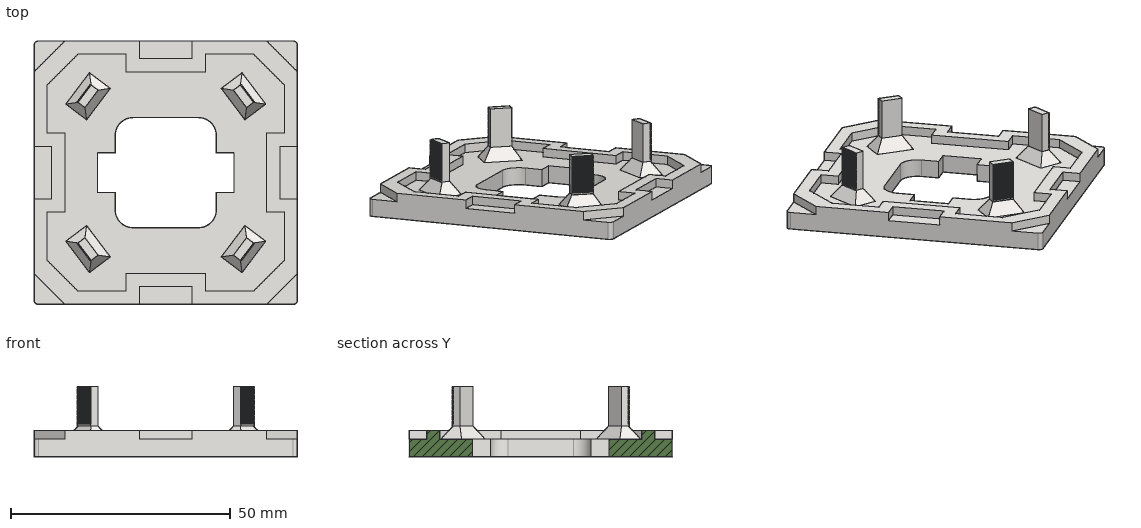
import cadquery as cq

plate_side = 60.0
plate_height = 6.0
corner_radius = 0.95

step_depth = 2.0
step_level = plate_height - step_depth
corner_step_leg = 7.0

notch_length = 12.0
notch_depth = 4.0

rim_width = 3.0
pocket_side = plate_side - 2 * rim_width
rim_bulge_length = notch_length + 2 * rim_width
rim_bulge_depth = notch_depth + rim_width

opening_x = 23.0
opening_y = 25.0
opening_radius = 4.0
slot_x = 31.1
slot_y = 9.0

total_height = 16.0
post_offset_x = 17.7
post_offset_y = 17.4
post_length = 5.0
post_width = 2.0
post_angle = 53.0
foot_height = 3.0
foot_flare = 2.0
foot_length = post_length + 2 * foot_flare
foot_width = post_width + 2 * foot_flare
foot_top = step_level + foot_height

tooth_pitch = 0.25
tooth_depth = 0.25
tooth_count = 34
land_top = total_height - tooth_count * tooth_pitch



def block(size_x, size_y, bottom, top):
    """Box centred on the Z axis between two levels."""
    return cq.Workplane("XY").workplane(offset=bottom).rect(size_x, size_y).extrude(top - bottom)


def around_plate(shape):
    """The shape united with its copies at each quarter turn about Z."""
    ring = shape
    for turn in range(1, 4):
        ring = ring.union(shape.rotate((0, 0, 0), (0, 0, 1), 90 * turn))
    return ring


def make_plate():
    return block(plate_side, plate_side, 0, plate_height).edges("|Z").fillet(corner_radius)


def make_corner_steps():
    half = plate_side / 2
    triangle = [(half, half), (half - corner_step_leg, half), (half, half - corner_step_leg)]
    step = cq.Workplane("XY").workplane(offset=step_level).polyline(triangle).close().extrude(step_depth)
    return around_plate(step)


def make_edge_blocks(length, depth):
    """Blocks reaching inward from the middle of each plate edge."""
    edge_block = block(length, depth, step_level, plate_height)
    return around_plate(edge_block.translate((0, (plate_side - depth) / 2, 0)))


def make_pocket():
    pocket = block(pocket_side, pocket_side, step_level, plate_height)
    pocket = pocket.edges("|Z").chamfer(corner_step_leg)
    return pocket.cut(make_edge_blocks(rim_bulge_length, rim_bulge_depth))


def make_opening():
    opening = block(opening_x, opening_y, 0, plate_height).edges("|Z").fillet(opening_radius)
    return opening.union(block(slot_x, slot_y, 0, plate_height))


def make_post():
    """Post in the -X +Y corner; its toothed face looks outward."""
    foot = (
        cq.Workplane("XY").workplane(offset=step_level)
        .rect(foot_length, foot_width)
        .workplane(offset=foot_height)
        .rect(post_length, post_width)
        .loft(ruled=True)
    )
    post = foot.union(block(post_length, post_width, foot_top, total_height))

    face_y = post_width / 2
    teeth = cq.Workplane("YZ").workplane(offset=-post_length / 2)
    for index in range(tooth_count):
        tooth_top = total_height - index * tooth_pitch
        teeth = teeth.polyline([
            (face_y, tooth_top),
            (face_y + tooth_depth, tooth_top - tooth_pitch / 2),
            (face_y, tooth_top - tooth_pitch),
        ]).close()
    post = post.union(teeth.extrude(post_length))

    land = block(post_length, tooth_depth, foot_top, land_top)
    post = post.union(land.translate((0, face_y + tooth_depth / 2, 0)))

    post = post.rotate((0, 0, 0), (0, 0, 1), post_angle)
    return post.translate((-post_offset_x, post_offset_y, 0))


result = make_plate()
result = result.cut(make_corner_steps())
result = result.cut(make_edge_blocks(notch_length, notch_depth))
result = result.cut(make_pocket()).cut(make_opening())

left_posts = make_post().union(make_post().mirror("XZ"))
result = result.union(left_posts).union(left_posts.mirror("YZ"))